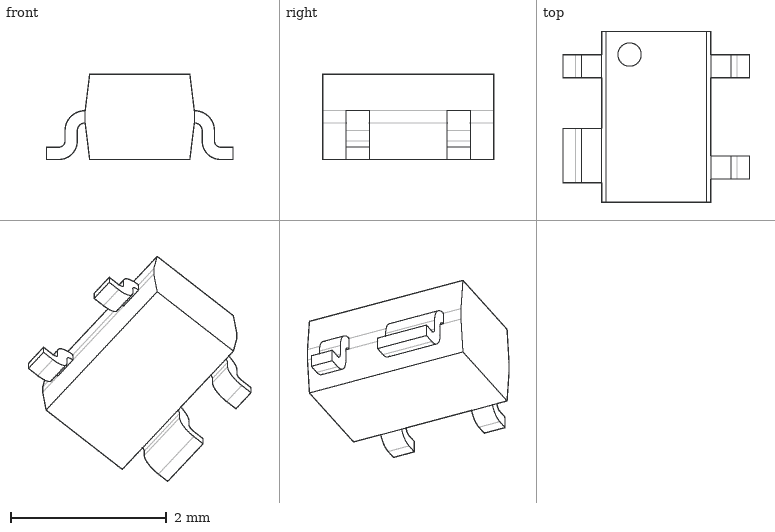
import cadquery as cq

housing_length = 2.2
housing_height = 1.1
end_width = 1.29
belt_width = 1.406
belt_top = 0.63

lead_span = 2.4
lead_thickness = 0.16
foot_flat = 0.158
foot_inner_radius = 0.08
narrow_lead_width = 0.3
wide_lead_width = 0.7
narrow_lead_y = 0.65
wide_lead_y = -0.5

mark_diameter = 0.3
mark_depth = 0.025
mark_x = -0.343
mark_y = 0.802

belt_bottom = belt_top - lead_thickness


def make_mark():
    """Thin disc whose upper face is flush with the housing top."""
    return (
        cq.Workplane("XY", origin=(mark_x, mark_y, housing_height - mark_depth))
        .circle(mark_diameter / 2)
        .extrude(mark_depth)
    )


def make_housing(mark):
    """Block tapering up and down from its belt, with a recess for the mark."""
    half_end = end_width / 2
    half_belt = belt_width / 2
    block = (
        cq.Workplane("XZ")
        .polyline([
            (-half_end, 0),
            (half_end, 0),
            (half_belt, belt_bottom),
            (half_belt, belt_top),
            (half_end, housing_height),
            (-half_end, housing_height),
            (-half_belt, belt_top),
            (-half_belt, belt_bottom),
        ])
        .close()
        .extrude(housing_length / 2, both=True)
    )
    return block.cut(mark)


def make_lead(side, width, center_y):
    """Gull-wing lead whose shoulder curves straight into the belt.

    side is -1 for the -X side and +1 for the +X side.
    """
    tip_x = -lead_span / 2
    foot_end_x = tip_x + foot_flat
    riser_outer_x = foot_end_x + foot_inner_radius
    riser_inner_x = riser_outer_x + lead_thickness
    foot_outer_radius = foot_inner_radius + lead_thickness
    root_x = -belt_width / 2
    shoulder_outer_radius = root_x - riser_outer_x
    shoulder_inner_radius = root_x - riser_inner_x
    shoulder_z = belt_top - shoulder_outer_radius

    lead = (
        cq.Workplane("XZ")
        .moveTo(tip_x, 0)
        .lineTo(foot_end_x, 0)
        .radiusArc((riser_inner_x, foot_outer_radius), -foot_outer_radius)
        .lineTo(riser_inner_x, shoulder_z)
        .radiusArc((root_x, belt_bottom), shoulder_inner_radius)
        .lineTo(root_x, belt_top)
        .radiusArc((riser_outer_x, shoulder_z), -shoulder_outer_radius)
        .lineTo(riser_outer_x, foot_outer_radius)
        .radiusArc((foot_end_x, lead_thickness), foot_inner_radius)
        .lineTo(tip_x, lead_thickness)
        .close()
        .extrude(width / 2, both=True)
    )
    if side > 0:
        lead = lead.mirror("YZ")
    return lead.translate((0, center_y, 0))


lead_layout = [
    (-1, narrow_lead_width, narrow_lead_y),
    (-1, wide_lead_width, wide_lead_y),
    (1, narrow_lead_width, narrow_lead_y),
    (1, narrow_lead_width, -narrow_lead_y),
]

mark = make_mark()
housing = make_housing(mark)
leads = [make_lead(side, width, center_y) for side, width, center_y in lead_layout]

result = cq.Compound.makeCompound([
    housing.val(),
    mark.val(),
    *[lead.val() for lead in leads],
])